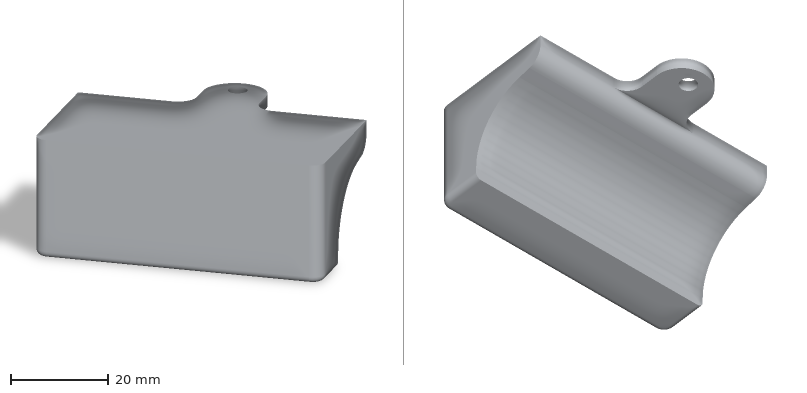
import cadquery as cq
import math

width = 62.0
depth = 31.7
height = 25.6
front_corner_radius = 2.7
bottom_edge_radius = 1.35

foot_depth = 11.7
lip_radius = 4.0
scoop_radius = 16.0
scoop_start_height = 2.65

tab_width = 13.5
tab_thickness = 2.65
tab_reach = 47.15
tab_root_radius = 4.0
hole_diameter = 4.0
hole_y = 42.5


def point_on_circle(center, radius, angle):
    """Point at the given angle, measured from +Y towards +Z."""
    return (center[0] + radius * math.cos(angle), center[1] + radius * math.sin(angle))


def make_block():
    """Block with rounded front corners and rounded bottom edges, before the scoop."""
    block = cq.Workplane("XY").box(width, depth, height, centered=(True, False, False))
    block = block.translate((0, 0, -height))
    block = block.edges("|Z and <Y").fillet(front_corner_radius)
    return block.faces("<Z").edges("not >Y").fillet(bottom_edge_radius)


def make_scoop():
    """Cutter under the back: convex lip, short slope, then a concave arc to the foot."""
    lip_center = (depth - lip_radius, -tab_thickness)
    scoop_center = (foot_depth + scoop_radius, scoop_start_height - height)
    rise = lip_center[1] - scoop_center[1]
    run = lip_center[0] - scoop_center[0]
    center_angle = math.atan2(rise, run)
    normal = center_angle + math.acos((scoop_radius + lip_radius) / math.hypot(run, rise))
    lip_end = point_on_circle(lip_center, lip_radius, normal - math.pi)
    lip_middle = point_on_circle(lip_center, lip_radius, (normal - math.pi) / 2)
    arc_start = point_on_circle(scoop_center, scoop_radius, normal)
    arc_middle = point_on_circle(scoop_center, scoop_radius, (normal + math.pi) / 2)
    return (
        cq.Workplane("YZ")
        .moveTo(depth, lip_center[1])
        .threePointArc(lip_middle, lip_end)
        .lineTo(*arc_start)
        .threePointArc(arc_middle, (foot_depth, scoop_center[1]))
        .lineTo(foot_depth, -height)
        .lineTo(depth, -height)
        .close()
        .extrude(width / 2, both=True)
    )


def make_tab():
    """Round-ended tab with flared roots and an off-centre hanging hole."""
    half = tab_width / 2
    root = half + tab_root_radius
    shoulder_y = depth + tab_root_radius
    bend = tab_root_radius * (1 - math.sqrt(0.5))
    tab = (
        cq.Workplane("XY")
        .moveTo(-root, depth)
        .threePointArc((-half - bend, depth + bend), (-half, shoulder_y))
        .lineTo(-half, tab_reach - half)
        .threePointArc((0, tab_reach), (half, tab_reach - half))
        .lineTo(half, shoulder_y)
        .threePointArc((half + bend, depth + bend), (root, depth))
        .lineTo(root, depth - tab_root_radius)
        .lineTo(-root, depth - tab_root_radius)
        .close()
        .extrude(-tab_thickness)
    )
    hole = cq.Workplane("XY").center(0, hole_y).circle(hole_diameter / 2).extrude(-tab_thickness)
    return tab.cut(hole)


result = make_block().cut(make_scoop()).union(make_tab())